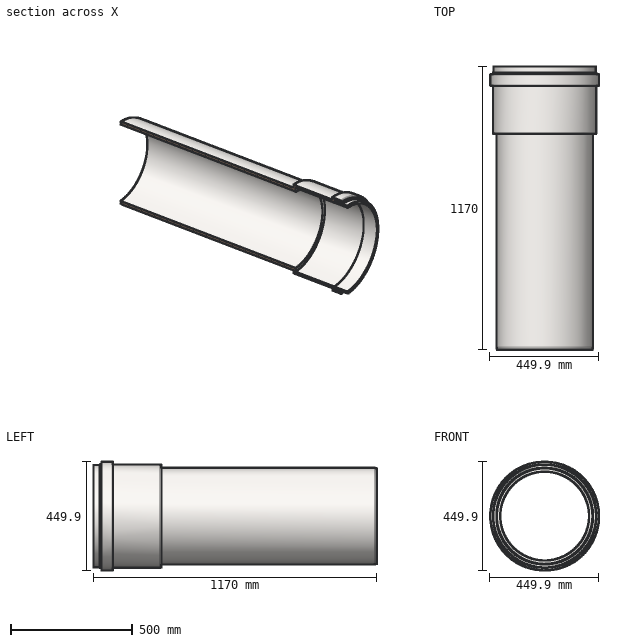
import cadquery as cq
import math

overall_length = 1170.0
mouth_y = overall_length / 2

wall = 13.0
chamfer_angle = 15.0
bore_diameter = 365.8
pipe_diameter = 400.0
socket_diameter = 427.7
socket_bore = socket_diameter - 2 * wall

tip_chamfer_length = 11.0
tip_chamfer_depth = tip_chamfer_length * math.tan(math.radians(chamfer_angle))
tip_diameter = pipe_diameter - 2 * tip_chamfer_depth

shoulder_diameter = 423.9
shoulder_end = 280.0
shoulder_chamfer_depth = (socket_diameter - shoulder_diameter) / 2
shoulder_start = shoulder_end - shoulder_chamfer_depth / math.tan(math.radians(chamfer_angle))
socket_floor = shoulder_end - wall

bead_diameter = 449.9
bead_start = 32.3
bead_end = 80.3
bead_fillet = 4.0
bead_foot_fillet = 2.0

ring_diameter = 423.06
ring_bore = 402.1
ring_end = bead_end - wall

collar_angle = 28.0
collar_rim_diameter = 423.9
collar_start = 24.8
collar_rise = (bead_start - collar_start) * math.tan(math.radians(collar_angle))
collar_diameter = collar_rim_diameter + 2 * collar_rise


def at(diameter, distance):
    """Point of the half section at a diameter and a distance from the mouth end."""
    return (diameter / 2, mouth_y - distance)


def make_pipe():
    """Pipe, socket, bead and collar in one wall, with a recess in the mouth for the ring."""
    bead_face_diameter = bead_diameter - 2 * bead_fillet
    bead_foot_diameter = socket_diameter + 2 * bead_foot_fillet
    half_section = (
        cq.Workplane("XY")
        .moveTo(*at(ring_diameter, collar_start))
        .lineTo(*at(collar_rim_diameter, collar_start))
        .lineTo(*at(collar_diameter, bead_start))
        .lineTo(*at(bead_face_diameter, bead_start))
        .tangentArcPoint(at(bead_diameter, bead_start + bead_fillet), relative=False)
        .lineTo(*at(bead_diameter, bead_end - bead_fillet))
        .tangentArcPoint(at(bead_face_diameter, bead_end), relative=False)
        .lineTo(*at(bead_foot_diameter, bead_end))
        .tangentArcPoint(at(socket_diameter, bead_end + bead_foot_fillet), relative=False)
        .lineTo(*at(socket_diameter, shoulder_start))
        .lineTo(*at(shoulder_diameter, shoulder_end))
        .lineTo(*at(pipe_diameter, shoulder_end))
        .lineTo(*at(pipe_diameter, overall_length - tip_chamfer_length))
        .lineTo(*at(tip_diameter, overall_length))
        .lineTo(*at(bore_diameter, overall_length))
        .lineTo(*at(bore_diameter, socket_floor))
        .lineTo(*at(socket_bore, socket_floor))
        .lineTo(*at(socket_bore, ring_end))
        .lineTo(*at(ring_diameter, ring_end))
        .close()
    )
    return half_section.revolve(360, (0, 0), (0, 1))


def make_sealing_ring():
    """Plain ring that fills the mouth recess and stands out of the collar."""
    half_section = cq.Workplane("XY").polyline([
        at(ring_bore, 0),
        at(ring_diameter, 0),
        at(ring_diameter, ring_end),
        at(ring_bore, ring_end),
    ]).close()
    return half_section.revolve(360, (0, 0), (0, 1))


pipe = make_pipe()
sealing_ring = make_sealing_ring()

result = cq.Compound.makeCompound([pipe.val(), sealing_ring.val()])